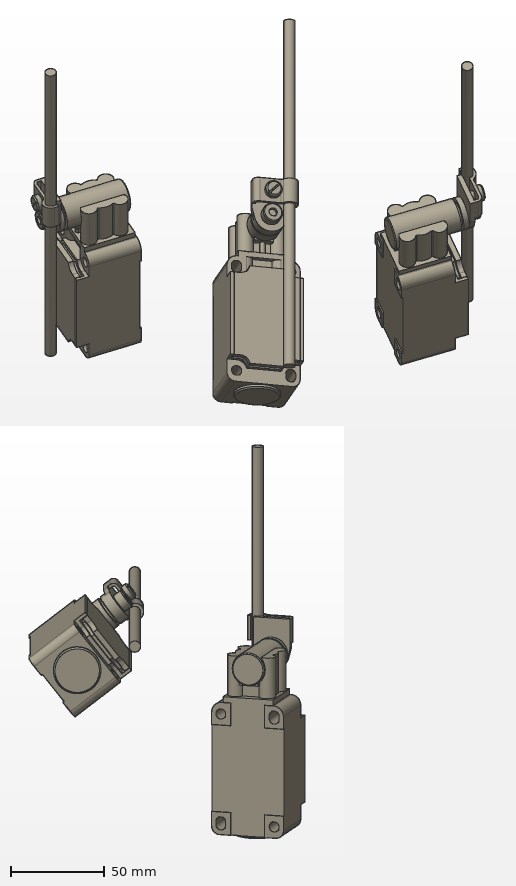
import cadquery as cq
import math

HOUSING_WIDTH = 40.5
HOUSING_HEIGHT = 72.6
HOUSING_FRONT = -30.9
HOUSING_BACK = -0.8
TOP_CORNER_RADIUS = 5.5
BOTTOM_CORNER_RADIUS = 4.5
MID_Z = HOUSING_HEIGHT / 2

NECK_WIDTH = 28.0
NECK_TOP = 75.7

POCKET_WIDTH = 19.0
POCKET_BACK_WIDTH = 10.7
POCKET_DEPTH = 3.3

HOLE_X = 15.0
HOLE_FROM_MID = 30.0
HOLE_DIAMETER = 5.5
SLOT_LENGTH = 7.2

NOTCH_X = 14.8
NOTCH_RADIUS = 5.3
LID_HALF_HEIGHT = 28.2
NOTCH_HALF_HEIGHT = 23.9
CUT_OVERRUN = 2.0

LEDGE_FRONT = -33.1
GROOVE_FRONT = -35.2
LID_FRONT = -38.3
WALL_THICKNESS = 1.9
WALL_INNER_X = HOUSING_WIDTH / 2 - WALL_THICKNESS
LID_CLEARANCE = 0.2
LID_WIDTH = 2 * (WALL_INNER_X - LID_CLEARANCE)
GROOVE_DEPTH = 2.3

ENTRY_Y = -17.0
ENTRY_RADIUS = 12.8
ENTRY_HEIGHT = 2.0
ENTRY_CHAMFER = 0.8

SHAFT_Z = 91.5
BARREL_RADIUS = 9.0
BARREL_FRONT = -38.5
BARREL_CHAMFER = 0.6
PILLAR_TOP = 98.0
PILLAR_X = 8.8
PILLAR_RADIUS = 4.5
PILLAR_BACK_Y = -7.6
PILLAR_FRONT_Y = -25.7
PILLAR_MID_Y = (PILLAR_BACK_Y + PILLAR_FRONT_Y) / 2
WEB_X = 10.7
WEB_FRONT = -27.4
WEB_BACK = 2 * PILLAR_MID_Y - WEB_FRONT
BULGE_X = 11.7
BULGE_HALF_LENGTH = 4.1
RIB_HALF_WIDTH = 1.5
RIB_SIDE_FRONT = -28.5
RIB_FRONT = -29.6
FOOT_WIDTH = 10.7
FOOT_BOTTOM = 82.5
FOOT_BACK = -1.6
FOOT_FRONT = -31.7

HUB_BACK = -40.0
SHAFT_RADIUS = 6.8
PLATE_BACK = -43.0
PLATE_FRONT = -45.9
PLATE_HALF_WIDTH = 10.3
PLATE_TOP = 111.0
CLAMP_BOTTOM = 97.5
TAPER_TOP = 95.0
TAPER_BOTTOM = 89.3
STRIP_THICKNESS = 1.6
STRIP_FRONT = -50.5
FOLD_RADIUS = 3.0
BLEND_RADIUS = 1.5

SCREW_Z = 104.3
SCREW_RADIUS = 4.5
SCREW_FRONT = -54.0
SCREW_CHAMFER = 0.8
SCREW_SLOT_WIDTH = 0.8
SCREW_SLOT_DEPTH = 0.8
SCREW_SLOT_ANGLE = 45
SHANK_RADIUS = 2.5

NUT_RADIUS = 5.3
NUT_FRONT = -51.2
NUT_CHAMFER = 0.6
NUT_HOLE_RADIUS = 2.3
NUT_HOLE_DEPTH = 2.0

ROD_RADIUS = 3.0
ROD_X = 9.7
ROD_INSET = 0.2
ROD_Y = PLATE_FRONT - ROD_RADIUS + ROD_INSET
ROD_BOTTOM = 4.3
OVERALL_HEIGHT = 205.7
ROD_TOP = OVERALL_HEIGHT - ENTRY_HEIGHT


def block(x0, x1, y0, y1, z0, z1):
    """Axis-aligned box between two corner positions."""
    return cq.Workplane("XY").box(x1 - x0, y1 - y0, z1 - z0, centered=False).translate((x0, y0, z0))


def centred_block(width, y0, y1, z0, z1):
    """Axis-aligned box centred on X = 0."""
    return block(-width / 2, width / 2, y0, y1, z0, z1)


def cylinder_along_y(radius, y_back, y_front, x, z):
    """Cylinder that runs from y_back forward to y_front."""
    return cq.Workplane("XZ", origin=(0, y_back, 0)).center(x, z).circle(radius).extrude(y_back - y_front)


def notched_plate(width, inset, y_back, y_front):
    """Plate with four rounded corner notches; inset shrinks its whole rim."""
    half_width = width / 2 - inset
    half_height = LID_HALF_HEIGHT - inset
    notch_height = NOTCH_HALF_HEIGHT - inset
    radius = NOTCH_RADIUS + inset
    centre_height = notch_height + radius
    end_x = NOTCH_X - math.sqrt(radius**2 - (centre_height - half_height) ** 2)

    plate = centred_block(2 * half_width, y_front, y_back, MID_Z - half_height, MID_Z + half_height)
    depth = y_back - y_front
    for side_x in (-1, 1):
        for side_z in (-1, 1):
            arc_middle = (
                NOTCH_X - radius * math.sin(math.pi / 4),
                centre_height - radius * math.cos(math.pi / 4),
            )
            corner = [
                (half_width + CUT_OVERRUN, notch_height),
                (NOTCH_X, notch_height),
                arc_middle,
                (end_x, half_height),
                (half_width + CUT_OVERRUN, half_height),
            ]
            a, b, c, d, e = [(side_x * x, MID_Z + side_z * z) for x, z in corner]
            notch = (
                cq.Workplane("XZ", origin=(0, y_back, 0))
                .moveTo(*a).lineTo(*b).threePointArc(c, d).lineTo(*e).close()
                .extrude(depth)
            )
            plate = plate.cut(notch)
    return plate


def ear_block():
    """Main block with rounded corners and four raised pads on its back."""
    body = centred_block(HOUSING_WIDTH, HOUSING_FRONT, 0, 0, HOUSING_HEIGHT)
    body = body.edges("|Y and >Z").fillet(TOP_CORNER_RADIUS)
    body = body.edges("|Y and <Z").fillet(BOTTOM_CORNER_RADIUS)
    upright = centred_block(2 * (NOTCH_X - NOTCH_RADIUS), HOUSING_BACK, 0, 0, HOUSING_HEIGHT)
    across = centred_block(
        HOUSING_WIDTH, HOUSING_BACK, 0, MID_Z - NOTCH_HALF_HEIGHT, MID_Z + NOTCH_HALF_HEIGHT
    )
    return body.cut(upright).cut(across)


def mounting_holes():
    """Two round holes and two slots, right through the ears."""
    holes = cq.Workplane("XZ").pushPoints(
        [(HOLE_X, MID_Z + HOLE_FROM_MID), (-HOLE_X, MID_Z - HOLE_FROM_MID)]
    ).circle(HOLE_DIAMETER / 2).extrude(-HOUSING_FRONT)
    slots = cq.Workplane("XZ").pushPoints(
        [(-HOLE_X, MID_Z + HOLE_FROM_MID), (HOLE_X, MID_Z - HOLE_FROM_MID)]
    ).slot2D(SLOT_LENGTH, HOLE_DIAMETER, 90).extrude(-HOUSING_FRONT)
    return holes.union(slots)


def front_pocket():
    """Shallow pocket in the front of the neck; its sides round over into the front face."""
    half_front = POCKET_WIDTH / 2
    half_back = POCKET_BACK_WIDTH / 2
    run = half_front - half_back
    back_y = HOUSING_FRONT + POCKET_DEPTH
    radius = (run**2 + POCKET_DEPTH**2) / (2 * POCKET_DEPTH)
    half_sweep = math.asin(run / radius) / 2
    middle_x = half_front - radius * math.sin(half_sweep)
    middle_y = HOUSING_FRONT + radius * (1 - math.cos(half_sweep))
    floor_z = MID_Z + LID_HALF_HEIGHT
    return (
        cq.Workplane("XY", origin=(0, 0, floor_z))
        .moveTo(-half_front, HOUSING_FRONT)
        .threePointArc((-middle_x, middle_y), (-half_back, back_y))
        .lineTo(half_back, back_y)
        .threePointArc((middle_x, middle_y), (half_front, HOUSING_FRONT))
        .close()
        .extrude(HOUSING_HEIGHT - floor_z)
    )


def make_lid():
    """Lid plate on a smaller core, which leaves a groove around its rim."""
    plate = notched_plate(LID_WIDTH, 0, GROOVE_FRONT, LID_FRONT)
    core = notched_plate(LID_WIDTH, GROOVE_DEPTH, LEDGE_FRONT, GROOVE_FRONT)
    return plate.union(core)


def make_housing():
    neck = centred_block(NECK_WIDTH, HOUSING_FRONT, HOUSING_BACK, MID_Z, NECK_TOP)
    ledge = notched_plate(HOUSING_WIDTH, 0, HOUSING_FRONT, LEDGE_FRONT)
    entry = (
        cq.Workplane("XY").center(0, ENTRY_Y).circle(ENTRY_RADIUS).extrude(-ENTRY_HEIGHT)
        .faces("<Z").chamfer(ENTRY_CHAMFER)
    )
    housing = ear_block().union(neck).union(ledge).union(entry)
    for left_x in (-HOUSING_WIDTH / 2, WALL_INNER_X):
        wall = block(
            left_x, left_x + WALL_THICKNESS, LID_FRONT, LEDGE_FRONT,
            MID_Z - NOTCH_HALF_HEIGHT, MID_Z + NOTCH_HALF_HEIGHT,
        )
        housing = housing.union(wall)
    return housing.cut(mounting_holes()).cut(front_pocket())


def make_head():
    height = PILLAR_TOP - NECK_TOP
    base = cq.Workplane("XY", origin=(0, 0, NECK_TOP))
    bulge_back = PILLAR_MID_Y + BULGE_HALF_LENGTH
    bulge_front = PILLAR_MID_Y - BULGE_HALF_LENGTH
    head = (
        base.moveTo(-WEB_X, WEB_BACK)
        .lineTo(WEB_X, WEB_BACK)
        .lineTo(WEB_X, bulge_back)
        .threePointArc((BULGE_X, PILLAR_MID_Y), (WEB_X, bulge_front))
        .lineTo(WEB_X, WEB_FRONT)
        .lineTo(RIB_HALF_WIDTH, WEB_FRONT)
        .lineTo(RIB_HALF_WIDTH, RIB_SIDE_FRONT)
        .threePointArc((0, RIB_FRONT), (-RIB_HALF_WIDTH, RIB_SIDE_FRONT))
        .lineTo(-RIB_HALF_WIDTH, WEB_FRONT)
        .lineTo(-WEB_X, WEB_FRONT)
        .lineTo(-WEB_X, bulge_front)
        .threePointArc((-BULGE_X, PILLAR_MID_Y), (-WEB_X, bulge_back))
        .close()
        .extrude(height)
    )
    for x in (-PILLAR_X, PILLAR_X):
        for y in (PILLAR_BACK_Y, PILLAR_FRONT_Y):
            head = head.union(base.center(x, y).circle(PILLAR_RADIUS).extrude(height))
    barrel = cylinder_along_y(BARREL_RADIUS, HOUSING_BACK, BARREL_FRONT, 0, SHAFT_Z)
    barrel = barrel.faces(">Y").chamfer(BARREL_CHAMFER)
    foot = centred_block(FOOT_WIDTH, FOOT_FRONT, FOOT_BACK, FOOT_BOTTOM, SHAFT_Z)
    return head.union(barrel).union(foot)


def lever_plate():
    """Hub disc with a plate rising from it and a thinner shaft back to the head."""
    hub = cylinder_along_y(BARREL_RADIUS, HUB_BACK, PLATE_FRONT, 0, SHAFT_Z)
    shaft = cylinder_along_y(SHAFT_RADIUS, BARREL_FRONT, HUB_BACK, 0, SHAFT_Z)
    taper_x = math.sqrt(BARREL_RADIUS**2 - (SHAFT_Z - TAPER_BOTTOM) ** 2)
    plate = (
        cq.Workplane("XZ", origin=(0, PLATE_BACK, 0))
        .moveTo(-taper_x, TAPER_BOTTOM)
        .lineTo(-PLATE_HALF_WIDTH, TAPER_TOP)
        .lineTo(-PLATE_HALF_WIDTH, PLATE_TOP)
        .lineTo(PLATE_HALF_WIDTH, PLATE_TOP)
        .lineTo(PLATE_HALF_WIDTH, TAPER_TOP)
        .lineTo(taper_x, TAPER_BOTTOM)
        .close()
        .extrude(PLATE_BACK - PLATE_FRONT)
    )
    return hub.union(shaft).union(plate)


def clamp_strip():
    """Strip folded forward from the plate and wrapped around the front of the rod."""
    outer = ROD_RADIUS + STRIP_THICKNESS
    fold_inner = FOLD_RADIUS - STRIP_THICKNESS
    strip_back = STRIP_FRONT + STRIP_THICKNESS
    fold_x = -PLATE_HALF_WIDTH + FOLD_RADIUS
    fold_y = STRIP_FRONT + FOLD_RADIUS
    diagonal = math.sqrt(0.5)

    blend_y = STRIP_FRONT - BLEND_RADIUS
    blend_x = ROD_X - math.sqrt((outer + BLEND_RADIUS) ** 2 - (ROD_Y - blend_y) ** 2)
    share = BLEND_RADIUS / (outer + BLEND_RADIUS)
    blend_end = (blend_x + share * (ROD_X - blend_x), blend_y + share * (ROD_Y - blend_y))
    blend_angle = math.atan2(blend_end[1] - blend_y, blend_end[0] - blend_x)
    middle_angle = (blend_angle + math.pi / 2) / 2
    blend_middle = (
        blend_x + BLEND_RADIUS * math.cos(middle_angle),
        blend_y + BLEND_RADIUS * math.sin(middle_angle),
    )

    return (
        cq.Workplane("XY", origin=(0, 0, CLAMP_BOTTOM))
        .moveTo(-PLATE_HALF_WIDTH, PLATE_FRONT)
        .lineTo(-PLATE_HALF_WIDTH, fold_y)
        .threePointArc(
            (fold_x - FOLD_RADIUS * diagonal, fold_y - FOLD_RADIUS * diagonal), (fold_x, STRIP_FRONT)
        )
        .lineTo(blend_x, STRIP_FRONT)
        .threePointArc(blend_middle, blend_end)
        .threePointArc((ROD_X, ROD_Y - outer), (ROD_X + outer, ROD_Y))
        .lineTo(ROD_X + outer, PLATE_FRONT)
        .lineTo(ROD_X + ROD_RADIUS, PLATE_FRONT)
        .lineTo(ROD_X + ROD_RADIUS, ROD_Y)
        .threePointArc((ROD_X, ROD_Y - ROD_RADIUS), (ROD_X - ROD_RADIUS, ROD_Y))
        .lineTo(fold_x, strip_back)
        .threePointArc(
            (fold_x - fold_inner * diagonal, fold_y - fold_inner * diagonal),
            (fold_x - fold_inner, fold_y),
        )
        .lineTo(fold_x - fold_inner, PLATE_FRONT)
        .close()
        .extrude(PLATE_TOP - CLAMP_BOTTOM)
    )


def clamp_screw():
    """Slotted screw head in front of the strip, with a shank back to the plate."""
    head = cylinder_along_y(SCREW_RADIUS, STRIP_FRONT, SCREW_FRONT, 0, SCREW_Z)
    head = head.faces("<Y").chamfer(SCREW_CHAMFER)
    shank = cylinder_along_y(SHANK_RADIUS, PLATE_FRONT, STRIP_FRONT, 0, SCREW_Z)
    slot = centred_block(
        2 * SCREW_RADIUS, SCREW_FRONT, SCREW_FRONT + SCREW_SLOT_DEPTH,
        SCREW_Z - SCREW_SLOT_WIDTH / 2, SCREW_Z + SCREW_SLOT_WIDTH / 2,
    )
    slot = slot.rotate((0, 0, SCREW_Z), (0, 1, SCREW_Z), -SCREW_SLOT_ANGLE)
    return head.cut(slot).union(shank)


def shaft_nut():
    """Round nut on the end of the shaft, with a blind hole."""
    nut = cylinder_along_y(NUT_RADIUS, PLATE_FRONT, NUT_FRONT, 0, SHAFT_Z)
    nut = nut.faces("<Y").chamfer(NUT_CHAMFER)
    hole = cylinder_along_y(NUT_HOLE_RADIUS, NUT_FRONT + NUT_HOLE_DEPTH, NUT_FRONT, 0, SHAFT_Z)
    return nut.cut(hole)


def trip_rod():
    """Long upright rod held in the clamp."""
    return (
        cq.Workplane("XY", origin=(ROD_X, ROD_Y, ROD_BOTTOM))
        .circle(ROD_RADIUS)
        .extrude(ROD_TOP - ROD_BOTTOM)
    )


def make_lever():
    lever = lever_plate().union(clamp_strip()).union(trip_rod())
    return lever.union(clamp_screw()).union(shaft_nut())


housing = make_housing()
lid = make_lid()
head = make_head()
lever = make_lever()
bodies = [housing, lid, head, lever]
result = cq.Compound.makeCompound([body.solids().val() for body in bodies])